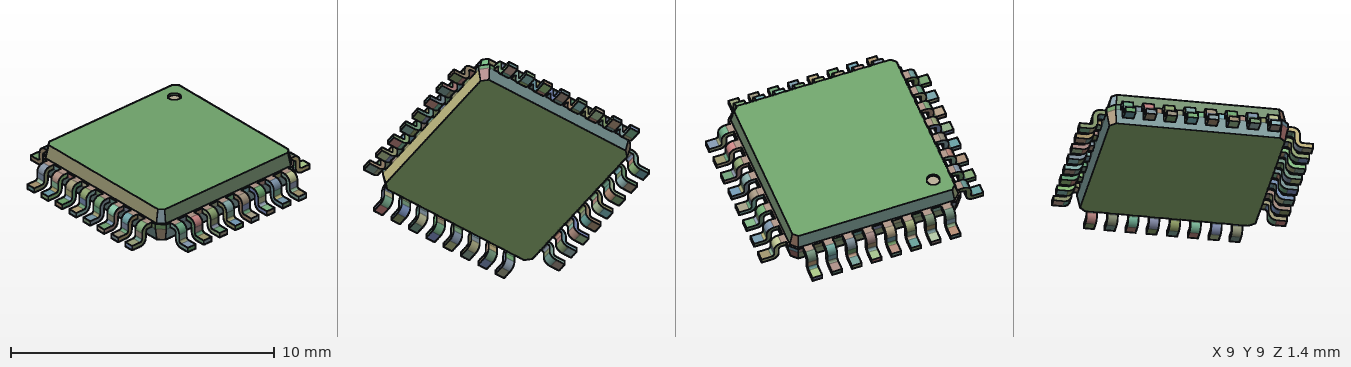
import cadquery as cq
import math

span = 9.0
height = 1.4
standoff = 0.1

leads_per_side = 8
lead_pitch = 0.8
lead_width = 0.4
lead_thickness = 0.2
foot_length = 0.405
inner_bend = 0.1
outer_bend = inner_bend + lead_thickness
lead_top = (standoff + height + lead_thickness) / 2
lead_underside = lead_top - lead_thickness

band_half = 3.5
band_chamfer = 0.3
ledge = 0.08
draft = math.radians(12)
half_inset = (lead_underside - standoff) * math.tan(draft)

mark_diameter = 0.5
mark_offset = 2.61
mark_depth = 0.1


def body_outline(inset):
    """Corner points of the band outline, with all eight sides moved inwards by the inset."""
    half = band_half - inset
    inner = half - band_chamfer + inset * (2 - math.sqrt(2))
    return [
        (half, -inner), (half, inner), (inner, half), (-inner, half),
        (-half, inner), (-half, -inner), (-inner, -half), (inner, -half),
    ]


def body_layer(z_low, inset_low, z_high, inset_high):
    """Solid between two levels, each with its own inset from the band outline."""
    return (
        cq.Workplane("XY", origin=(0, 0, z_low))
        .polyline(body_outline(inset_low)).close()
        .workplane(offset=z_high - z_low)
        .polyline(body_outline(inset_high)).close()
        .loft(ruled=True)
    )


def make_body():
    """Drafted lower half, straight band level with the leads, drafted upper half with the pin 1 mark."""
    lower = body_layer(standoff, half_inset, lead_underside, 0)
    band = body_layer(lead_underside, 0, lead_top, 0)
    upper = body_layer(lead_top, ledge, height, ledge + half_inset)
    mark = (
        cq.Workplane("XY", origin=(-mark_offset, mark_offset, height - mark_depth))
        .circle(mark_diameter / 2)
        .extrude(mark_depth)
    )
    return lower.union(band).union(upper).cut(mark)


def make_lead():
    """Gull-wing lead on the +X side, centred on Y = 0, with its root inside the body."""
    tip = span / 2
    foot_end = tip - foot_length
    leg_outer = foot_end - inner_bend
    leg_inner = leg_outer - lead_thickness
    shoulder_end = leg_inner - inner_bend
    root = band_half - ledge
    lower_centre = (foot_end, outer_bend)
    upper_centre = (shoulder_end, lead_top - outer_bend)
    diagonal = math.sqrt(0.5)

    def on_lower(radius):
        return (lower_centre[0] - radius * diagonal, lower_centre[1] - radius * diagonal)

    def on_upper(radius):
        return (upper_centre[0] + radius * diagonal, upper_centre[1] + radius * diagonal)

    return (
        cq.Workplane("XZ", origin=(0, lead_width / 2, 0))
        .moveTo(tip, 0)
        .lineTo(tip, lead_thickness)
        .lineTo(foot_end, lead_thickness)
        .threePointArc(on_lower(inner_bend), (leg_outer, outer_bend))
        .lineTo(leg_outer, upper_centre[1])
        .threePointArc(on_upper(outer_bend), (shoulder_end, lead_top))
        .lineTo(root, lead_top)
        .lineTo(root, lead_underside)
        .lineTo(shoulder_end, lead_underside)
        .threePointArc(on_upper(inner_bend), (leg_inner, upper_centre[1]))
        .lineTo(leg_inner, outer_bend)
        .threePointArc(on_lower(outer_bend), (foot_end, 0))
        .close()
        .extrude(lead_width)
    )


result = make_body()
lead = make_lead()
first_lead = -lead_pitch * (leads_per_side - 1) / 2
for side_angle in (0, 90, 180, 270):
    for index in range(leads_per_side):
        placed = lead.translate((0, first_lead + index * lead_pitch, 0))
        result = result.union(placed.rotate((0, 0, 0), (0, 0, 1), side_angle))